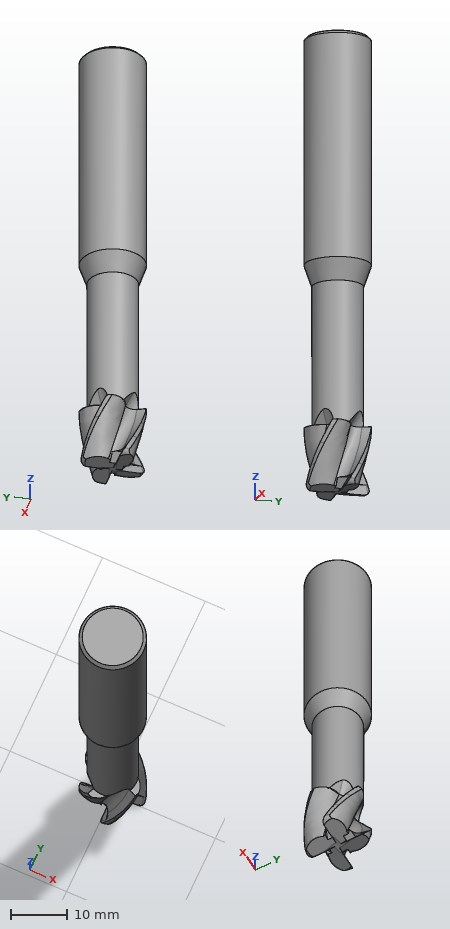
import cadquery as cq
import math

TOOL_LENGTH = 84.0
HEAD_LENGTH = 12.0
NECK_TOP = 38.05
TAPER_TOP = 42.0

TOOL_DIAMETER = 12.0
TOOL_RADIUS = TOOL_DIAMETER / 2
NECK_RADIUS = 4.6
END_CHAMFER = 0.6

TOOTH_COUNT = 4
TOOTH_PITCH = 360.0 / TOOTH_COUNT
HELIX_ANGLE = 30.0
LAND_ANGLE = 9.3
FLANK_RADIUS = NECK_RADIUS
FLANK_ANGLE = 35.0
HEEL_RADIUS = 3.0
HEEL_ANGLE = 58.5
RAKE_ROOT_RADIUS = 4.4
HEAD_TWIST = math.degrees(HEAD_LENGTH * math.tan(math.radians(HELIX_ANGLE)) / TOOL_RADIUS)

CORNER_RADIUS = 1.3
DISH_RADIUS = 2.8
DISH_DEPTH = 0.2
RELIEF_ANGLE = 12.0
GASH_HEIGHT = 2.2
GASH_INNER_BOTTOM = 1.5
GASH_INNER_TOP = 2.9
GASH_TOP_BACK = 1.2
GASH_TOP_FRONT = -0.75
GASH_BOTTOM_FRONT = -1.1

RUNOUT_HEIGHT = 4.2
RUNOUT_SLOPE = 0.7
RUNOUT_HEADING = 75.0

CLEAR = 1.5 * TOOL_RADIUS


def polar(radius, degrees, z=0.0):
    """Point at a radius and an angle about the tool axis."""
    angle = math.radians(degrees)
    return cq.Vector(radius * math.cos(angle), radius * math.sin(angle), z)


def around_axis(shape):
    """One copy of a shape for every tooth."""
    axis_end = cq.Vector(0, 0, 1)
    return [shape.rotate(cq.Vector(), axis_end, i * TOOTH_PITCH) for i in range(TOOTH_COUNT)]


def flute_floor(start, z=0.0):
    """Concave arc from the foot of the next tooth's radial rake line to the heel of this tooth."""
    next_edge = start + TOOTH_PITCH
    rake_root = polar(RAKE_ROOT_RADIUS, next_edge, z)
    heel = polar(HEEL_RADIUS, start + HEEL_ANGLE, z)
    inward = polar(-1, next_edge)
    return cq.Edge.makeTangentArc(rake_root, inward, heel)


def tooth_edges(start):
    """Land, convex flank, flute floor and rake line of one tooth at Z = 0."""
    land_end = polar(TOOL_RADIUS, start + LAND_ANGLE)
    heel = polar(HEEL_RADIUS, start + HEEL_ANGLE)
    rake_root = polar(RAKE_ROOT_RADIUS, start + TOOTH_PITCH)
    return [
        cq.Edge.makeThreePointArc(
            polar(TOOL_RADIUS, start), polar(TOOL_RADIUS, start + LAND_ANGLE / 2), land_end
        ),
        cq.Edge.makeThreePointArc(land_end, polar(FLANK_RADIUS, start + FLANK_ANGLE), heel),
        flute_floor(start),
        cq.Edge.makeLine(rake_root, polar(TOOL_RADIUS, start + TOOTH_PITCH)),
    ]


def end_envelope():
    """Solid of revolution with rounded corners and a shallow dish in the end."""
    corner_inset = CORNER_RADIUS * (1 - math.sqrt(0.5))
    return (
        cq.Workplane("XZ")
        .moveTo(0, DISH_DEPTH)
        .lineTo(DISH_RADIUS, 0)
        .lineTo(TOOL_RADIUS - CORNER_RADIUS, 0)
        .threePointArc((TOOL_RADIUS - corner_inset, corner_inset), (TOOL_RADIUS, CORNER_RADIUS))
        .lineTo(TOOL_RADIUS, HEAD_LENGTH)
        .lineTo(0, HEAD_LENGTH)
        .close()
        .revolve(360, (0, 0, 0), (0, 1, 0))
    )


def end_relief():
    """Wedge that slopes the end face upwards behind one end edge."""
    rise = CLEAR * math.tan(math.radians(RELIEF_ANGLE))
    return (
        cq.Workplane("YZ")
        .polyline([(0, 0), (CLEAR, 0), (CLEAR, rise)])
        .close()
        .extrude(CLEAR)
        .val()
    )


def end_gash():
    """Notch in front of one end edge, with a leaning rake face and a sloped inner end."""
    across = (
        cq.Workplane("YZ")
        .polyline(
            [
                (0, 0),
                (GASH_TOP_BACK, GASH_HEIGHT),
                (GASH_TOP_FRONT, GASH_HEIGHT),
                (GASH_BOTTOM_FRONT, 0),
            ]
        )
        .close()
        .extrude(CLEAR)
    )
    along = (
        cq.Workplane("XZ")
        .polyline(
            [
                (GASH_INNER_BOTTOM, 0),
                (CLEAR, 0),
                (CLEAR, GASH_HEIGHT),
                (GASH_INNER_TOP, GASH_HEIGHT),
            ]
        )
        .close()
        .extrude(CLEAR, both=True)
    )
    return across.intersect(along).val()


def make_cutting_head():
    """Helical four-tooth cutting head."""
    edges = []
    for i in range(TOOTH_COUNT):
        edges += tooth_edges(i * TOOTH_PITCH)
    section = cq.Wire.assembleEdges(edges)
    twisted = cq.Solid.extrudeLinearWithRotation(
        section, [], cq.Vector(), cq.Vector(0, 0, HEAD_LENGTH), HEAD_TWIST
    )
    head = cq.Workplane(obj=twisted).intersect(end_envelope())
    for cutter in around_axis(end_relief()) + around_axis(end_gash()):
        head = head.cut(cq.Workplane(obj=cutter))
    return head.solids()


def flute_runout():
    """Flute shape leaving the neck along a straight, outward-leaning path."""
    start = HEAD_TWIST
    z = HEAD_LENGTH
    heel = polar(HEEL_RADIUS, start + HEEL_ANGLE, z)
    flank = polar(FLANK_RADIUS, start + FLANK_ANGLE, z)
    rake_root = polar(RAKE_ROOT_RADIUS, start + TOOTH_PITCH, z)
    far_flank = polar(CLEAR, start + FLANK_ANGLE, z)
    far_rake = polar(CLEAR, start + TOOTH_PITCH, z)
    section = cq.Wire.assembleEdges(
        [
            cq.Edge.makeLine(far_flank, flank),
            cq.Edge.makeLine(flank, heel),
            flute_floor(start, z),
            cq.Edge.makeLine(rake_root, far_rake),
            cq.Edge.makeLine(far_rake, far_flank),
        ]
    )
    path = polar(RUNOUT_SLOPE * RUNOUT_HEIGHT, start + RUNOUT_HEADING, RUNOUT_HEIGHT)
    return cq.Solid.extrudeLinear(section, [], path)


def make_shank():
    """Round shank, taper and neck with the four flute run-outs."""
    body = (
        cq.Workplane("XZ")
        .polyline(
            [
                (0, HEAD_LENGTH),
                (NECK_RADIUS, HEAD_LENGTH),
                (NECK_RADIUS, NECK_TOP),
                (TOOL_RADIUS, TAPER_TOP),
                (TOOL_RADIUS, TOOL_LENGTH - END_CHAMFER),
                (TOOL_RADIUS - END_CHAMFER, TOOL_LENGTH),
                (0, TOOL_LENGTH),
            ]
        )
        .close()
        .revolve(360, (0, 0, 0), (0, 1, 0))
    )
    for cutter in around_axis(flute_runout()):
        body = body.cut(cq.Workplane(obj=cutter))
    return body.solids()


cutting_head = make_cutting_head()
shank = make_shank()

result = cq.Compound.makeCompound([cutting_head.val(), shank.val()])